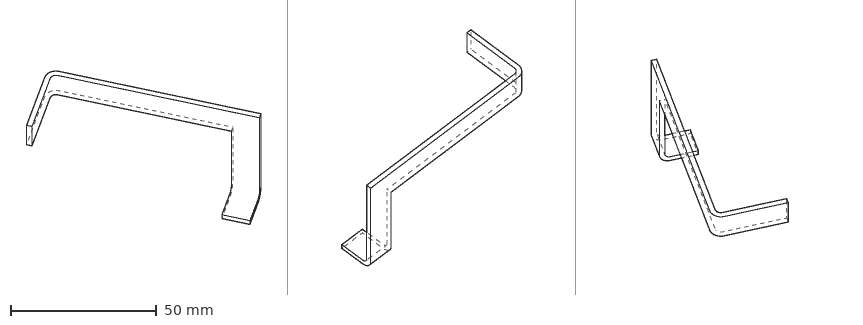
import cadquery as cq

length = 76.0
depth = 27.0
height = 42.0

thickness = 2.0
strip_width = 10.0
outer_bend_radius = 4.0
inner_bend_radius = outer_bend_radius - thickness
foot_depth = 14.0


def bent_strip(plane, long_leg, short_leg):
    """L-bent strip: the long leg runs along local +X, the short leg along local +Y."""
    return (
        cq.Workplane(plane)
        .moveTo(outer_bend_radius, 0)
        .lineTo(long_leg, 0)
        .lineTo(long_leg, thickness)
        .lineTo(outer_bend_radius, thickness)
        .radiusArc((thickness, outer_bend_radius), inner_bend_radius)
        .lineTo(thickness, short_leg)
        .lineTo(0, short_leg)
        .lineTo(0, outer_bend_radius)
        .radiusArc((outer_bend_radius, 0), -outer_bend_radius)
        .close()
        .extrude(strip_width)
    )


arm_plane = cq.Plane(origin=(0, 0, height), xDir=(1, 0, 0), normal=(0, 0, -1))
arm = bent_strip(arm_plane, length, depth)

leg_plane = cq.Plane(origin=(length - strip_width, 0, 0), xDir=(0, 0, 1), normal=(1, 0, 0))
leg = bent_strip(leg_plane, height, foot_depth)

result = arm.union(leg).clean()